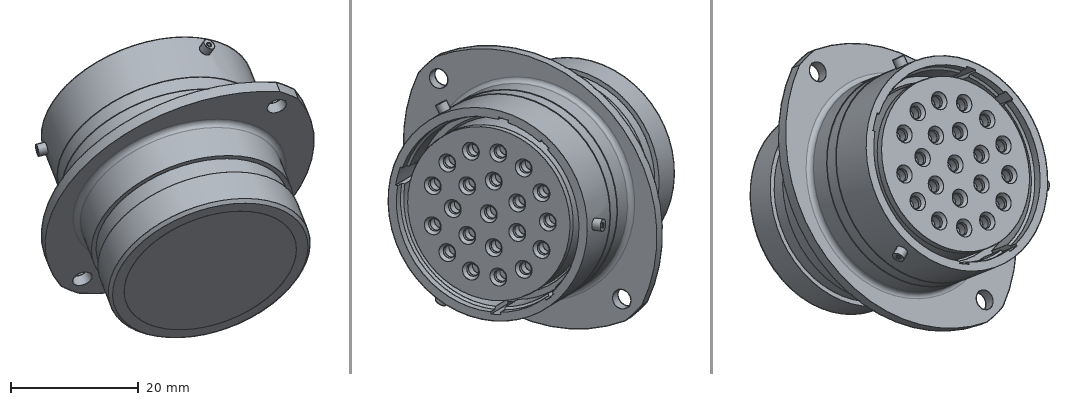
import cadquery as cq
import math


shell_length = 33.3
band_start = 8.25
band_end = 10.8
flange_front = 15.2
flange_thickness = 2.0
flange_rear = flange_front + flange_thickness
rear_groove_start = 23.9
rear_groove_end = 27.3

front_radius = 17.3
band_radius = 17.2
rear_radius = 16.5
rear_groove_radius = 15.75
front_fillet = 0.85
rear_fillet = 0.92
rear_chamfer = 0.55

flange_half_height = 22.0
flange_side_offset = 4.85
flange_side_radius = flange_half_height + flange_side_offset
flange_tip_radius = 25.4
mount_hole_offset = 15.9
mount_hole_radius = 1.6

mouth_radius = 15.85
mouth_depth = 1.45
mouth_taper_length = 0.35
socket_radius = 15.45

keyway_radius = 16.2
keyways = [(80.3, 1.7), (52.1, 1.7), (-48.2, 1.7), (-85.0, 1.7), (165.0, 3.12)]

seal_start = 6.15
seal_thickness = 1.3
seal_end = seal_start + seal_thickness
seal_chamfer = 0.35

insert_radius = 14.1
insert_recess = 0.4
front_insert_thickness = 1.2
insert_split = insert_recess + front_insert_thickness

contact_mouth_radius = 1.45
contact_mouth_depth = 0.6
contact_radius = 1.0
contact_depth = 2.65
outer_ring_radius = 10.25
outer_ring_count = 13
outer_ring_pitch = 26.9
inner_ring_radius = 5.5
inner_ring_angles = [26.0, 81.0, 132.6]
lone_contact_radius = 6.25

pin_count = 3
pin_x = 2.6
pin_radius = 0.95
pin_root = 16.5
pin_tip = 18.75
dimple_radius = 0.4
dimple_depth = 0.18

AXIS_START = (0, 0, 0)
AXIS_END = (1, 0, 0)


def revolve_about_x(points):
    """Turn a closed outline of (x, radius) points around the X axis."""
    return cq.Workplane("XZ").polyline(points).close().revolve(360, AXIS_START, AXIS_END)


def disc(start, length, radius, y=0, z=0):
    """A cylinder along X."""
    return cq.Workplane("YZ", origin=(start, y, z)).circle(radius).extrude(length)


def polar(radius, degrees):
    """Y and Z of a point at an angle measured from -Y towards +Z."""
    angle = math.radians(degrees)
    return (-radius * math.cos(angle), radius * math.sin(angle))


def make_barrel():
    """Solid turned body of the shell, with fillets where it meets the flange."""
    profile = (
        cq.Workplane("XZ")
        .lineTo(0, front_radius)
        .lineTo(band_start, front_radius)
        .lineTo(band_start, band_radius)
        .lineTo(band_end, band_radius)
        .lineTo(band_end, front_radius)
        .lineTo(flange_front - front_fillet, front_radius)
        .radiusArc((flange_front, front_radius + front_fillet), -front_fillet)
        .lineTo(flange_rear, rear_radius + rear_fillet)
        .radiusArc((flange_rear + rear_fillet, rear_radius), -rear_fillet)
        .lineTo(rear_groove_start, rear_radius)
        .lineTo(rear_groove_start, rear_groove_radius)
        .lineTo(rear_groove_end, rear_groove_radius)
        .lineTo(rear_groove_end, rear_radius)
        .lineTo(shell_length - rear_chamfer, rear_radius)
        .lineTo(shell_length, rear_radius - rear_chamfer)
        .lineTo(shell_length, 0)
    )
    return profile.close().revolve(360, AXIS_START, AXIS_END)


def make_flange():
    flange = disc(flange_front, flange_thickness, flange_tip_radius)
    for side in (1, -1):
        offset = side * flange_side_offset
        flange = flange.intersect(
            disc(flange_front, flange_thickness, flange_side_radius, offset, -offset)
        )
    for side in (1, -1):
        offset = side * mount_hole_offset
        flange = flange.cut(disc(flange_front, flange_thickness, mount_hole_radius, offset, offset))
    return flange


def make_cavity():
    """Space inside the shell: mouth, socket, seat of the seal ring and bore of the insert."""
    return revolve_about_x([
        (0, 0),
        (0, mouth_radius),
        (mouth_depth, mouth_radius),
        (mouth_depth + mouth_taper_length, socket_radius),
        (seal_start, socket_radius),
        (seal_start, keyway_radius),
        (seal_end, keyway_radius),
        (seal_end, insert_radius),
        (shell_length, insert_radius),
        (shell_length, 0),
    ])


def make_keyway(angle, width):
    """Round-bottomed slot from the mating face to the back of the seal ring."""
    slot = cq.Workplane("XY").box(seal_end, keyway_radius, width, centered=(False, False, True))
    slot = slot.intersect(disc(0, seal_end, keyway_radius))
    return slot.rotate(AXIS_START, AXIS_END, 180 - angle)


def make_shell(pins):
    shell = make_barrel().union(make_flange()).cut(make_cavity())
    for angle, width in keyways:
        shell = shell.cut(make_keyway(angle, width))
    for pin in pins:
        shell = shell.cut(pin)
    return shell


def make_seal_ring():
    """Ring around the insert, chamfered on both front edges."""
    return revolve_about_x([
        (seal_start, insert_radius + seal_chamfer),
        (seal_start, keyway_radius - seal_chamfer),
        (seal_start + seal_chamfer, keyway_radius),
        (seal_end, keyway_radius),
        (seal_end, insert_radius),
        (seal_start + seal_chamfer, insert_radius),
    ])


def contact_positions():
    """Y and Z of every contact: outer ring, inner ring, the one on the +Y side and the centre."""
    last = outer_ring_count // 2
    positions = [polar(outer_ring_radius, i * outer_ring_pitch) for i in range(-last, last + 1)]
    for angle in inner_ring_angles:
        positions.append(polar(inner_ring_radius, angle))
        positions.append(polar(inner_ring_radius, -angle))
    positions.append((lone_contact_radius, 0))
    positions.append((0, 0))
    return positions


def make_contact_hole():
    """Blind hole with a conical mouth, on the axis."""
    bottom = insert_recess + contact_depth
    return revolve_about_x([
        (insert_recess, 0),
        (insert_recess, contact_mouth_radius),
        (insert_recess + contact_mouth_depth, contact_radius),
        (bottom, contact_radius),
        (bottom, 0),
    ])


def make_insert(start, end):
    """Disc of the insert between two stations, with the contact holes cut in it."""
    insert = disc(start, end - start, insert_radius)
    hole = make_contact_hole()
    for y, z in contact_positions():
        insert = insert.cut(hole.translate((0, y, z)))
    return insert


def make_pin(index):
    """Radial bayonet pin with a shallow dimple in its tip."""
    pin = cq.Workplane("XZ", origin=(pin_x, -pin_root, 0)).circle(pin_radius).extrude(pin_tip - pin_root)
    dimple_floor = cq.Workplane("XZ", origin=(pin_x, dimple_depth - pin_tip, 0))
    pin = pin.cut(dimple_floor.circle(dimple_radius).extrude(dimple_depth))
    return pin.rotate(AXIS_START, AXIS_END, index * 360 / pin_count)


pins = [make_pin(index) for index in range(pin_count)]
shell = make_shell(pins)
seal_ring = make_seal_ring()
front_insert = make_insert(insert_recess, insert_split)
rear_insert = make_insert(insert_split, shell_length)

result = cq.Compound.makeCompound([
    shell.val(),
    seal_ring.val(),
    front_insert.val(),
    rear_insert.val(),
    *[pin.val() for pin in pins],
])